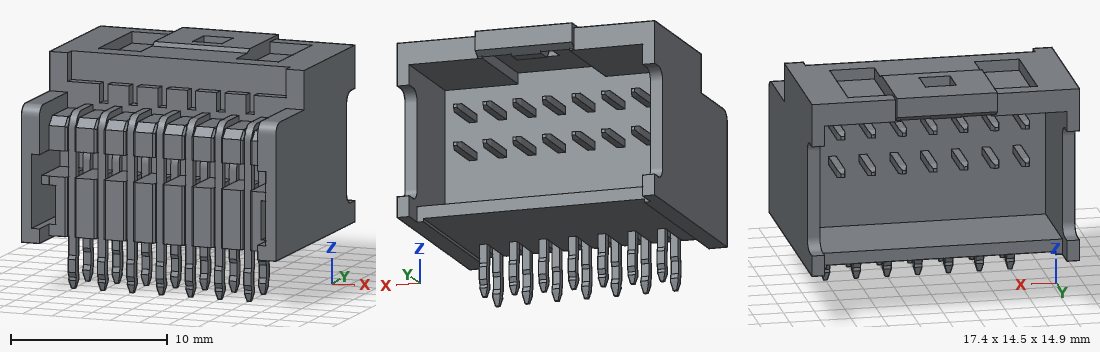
import cadquery as cq


width = 17.4
depth = 14.02
height = 11.48
corner_radius = 0.75
step_y = 5.01
wing_top_z = 8.93
wing_thickness = 1.24
inner_half_width = width / 2 - wing_thickness
bottom_recess = 0.21

notch_depth = 1.51
notch_bottom_z = 1.37
notch_top_z = 8.67

cavity_front_y = 7.08
cavity_bottom_z = 1.03
cavity_top_z = 10.0
side_wall = 0.82

latch_width = 6.52
latch_rise = 0.21
latch_overhang = 0.47
latch_rear_y = depth + latch_overhang
latch_front_y = 9.48
latch_ramp = 0.49
latch_nose_z = 10.42
latch_lead_in = 0.6
latch_lead_out = 0.49
latch_window = 2.0
latch_window_y = 11.38
latch_channel_width = 5.92
latch_channel_top_z = 10.74

pocket_outer_x = 6.16
pocket_front_y = cavity_front_y
pocket_rear_y = 12.98
pocket_depth = height - latch_channel_top_z

ledge_z = 9.62
ledge_depth = 0.7
slot_width = 0.55
slot_bottom_z = 8.39

pin_count = 7
pitch = 2.0
pin_size = 0.5
pin_half = pin_size / 2
row_spacing = 2.5
leg_front_y = 2.05
pin_top_z = 8.25
bend_outer = 1.03
bend_inner = bend_outer - pin_size
contact_tip_y = 10.51
pin_bottom_z = -3.2
point_length = 0.54
point_size = 0.23
kink = [(-1.03, 0.0), (-1.29, 0.1), (-2.12, 0.1), (-2.45, -0.03)]

comb_front_y = 1.72
comb_top_z = 7.92
comb_bevel = 0.55
groove_chamfer = 0.14
window_bottom_z = 4.07
window_top_z = 5.78

lock_inner_x = 7.03
lock_outer_x = 8.0
lock_bottom_z = 0.95
lock_top_z = 3.5
lock_tab_y = 1.8

pin_xs = [(i - (pin_count - 1) / 2) * pitch for i in range(pin_count)]
slot_xs = [(left + right) / 2 for left, right in zip(pin_xs, pin_xs[1:])]


def box(x_range, y_range, z_range):
    (x0, x1), (y0, y1), (z0, z1) = x_range, y_range, z_range
    return cq.Workplane("XY").box(x1 - x0, y1 - y0, z1 - z0, centered=False).translate((x0, y0, z0))


def centered_box(full_width, y_range, z_range):
    return box((-full_width / 2, full_width / 2), y_range, z_range)


def side_profile(x):
    """Sketch plane at X = x with local axes Y and Z, extruding toward +X."""
    return cq.Workplane("YZ", origin=(x, 0, 0))


def extruded_profile(outline, full_width):
    """Extrude a Y-Z outline symmetrically about X = 0."""
    return side_profile(-full_width / 2).polyline(outline).close().extrude(full_width)


def housing_shell():
    shell = centered_box(width, (0, depth), (0, height))
    shell = shell.cut(centered_box(width, (0, step_y), (wing_top_z, height)))
    front_edge = cq.selectors.NearestToPointSelector((0, 0, wing_top_z))
    shell = shell.edges(front_edge).fillet(corner_radius)
    shell = shell.cut(centered_box(2 * inner_half_width, (0, step_y), (0, wing_top_z)))
    underside = centered_box(2 * inner_half_width, (step_y, depth), (0, bottom_recess))
    cavity = centered_box(width - 2 * side_wall, (cavity_front_y, depth), (cavity_bottom_z, cavity_top_z))
    notch = centered_box(
        width, (depth - notch_depth, depth + notch_depth), (notch_bottom_z, notch_top_z)
    ).edges("|X").fillet(corner_radius)
    floor_end = centered_box(width - 2 * side_wall, (depth - notch_depth, depth), (0, cavity_bottom_z))
    return shell.cut(underside).cut(cavity).cut(notch).cut(floor_end)


def cut_front_edge(body):
    ledge_y = (step_y, step_y + ledge_depth)
    body = body.cut(centered_box(2 * inner_half_width, ledge_y, (ledge_z, height)))
    for x in slot_xs:
        slot_x = (x - slot_width / 2, x + slot_width / 2)
        body = body.cut(box(slot_x, ledge_y, (slot_bottom_z, ledge_z)))
    return body


def add_latch(body):
    for left_x, right_x in ((-pocket_outer_x, -latch_width / 2), (latch_width / 2, pocket_outer_x)):
        pocket_y = (pocket_front_y, pocket_rear_y)
        body = body.cut(box((left_x, right_x), pocket_y, (height - pocket_depth, height)))
    channel_y = (cavity_front_y, depth)
    body = body.cut(centered_box(latch_channel_width, channel_y, (cavity_top_z, latch_channel_top_z)))
    plate_outline = [
        (latch_rear_y, latch_channel_top_z),
        (latch_rear_y, height + latch_rise),
        (latch_front_y, height + latch_rise),
        (latch_front_y - latch_ramp, height),
        (latch_front_y - latch_ramp, latch_channel_top_z),
    ]
    tooth_front_y = latch_window_y + latch_window / 2
    tooth_outline = [
        (latch_rear_y, latch_channel_top_z),
        (latch_rear_y, latch_nose_z),
        (latch_rear_y - latch_lead_in, cavity_top_z),
        (tooth_front_y + latch_lead_out, cavity_top_z),
        (tooth_front_y, cavity_top_z + latch_lead_out),
        (tooth_front_y, latch_channel_top_z),
    ]
    plate = extruded_profile(plate_outline, latch_width)
    tooth_band = extruded_profile(tooth_outline, latch_width)
    lip = tooth_band.intersect(centered_box(latch_width, (depth, latch_rear_y), (0, height)))
    tooth = tooth_band.intersect(centered_box(latch_window, (0, latch_rear_y), (0, height)))
    window_y = (latch_window_y - latch_window / 2, tooth_front_y)
    window = centered_box(latch_window, window_y, (cavity_top_z, height + latch_rise))
    return body.union(plate).union(lip).union(tooth).cut(window)


def comb_block(x0, x1, chamfered_sides):
    outline = [
        (comb_front_y, bottom_recess),
        (comb_front_y, comb_top_z - comb_bevel),
        (comb_front_y + comb_bevel, comb_top_z),
        (step_y, comb_top_z),
        (step_y, bottom_recess),
    ]
    block = side_profile(x0).polyline(outline).close().extrude(x1 - x0)
    for side in chamfered_sides:
        block = block.faces(side).edges("not(<Z or >Y)").chamfer(groove_chamfer)
    return block


def add_comb(body):
    """Fill the space between the side walls with blocks, leaving one groove per pin."""
    starts = [-inner_half_width] + [x + pin_half for x in pin_xs]
    ends = [x - pin_half for x in pin_xs] + [inner_half_width]
    for i, (x0, x1) in enumerate(zip(starts, ends)):
        chamfered_sides = ([] if i == 0 else ["<X"]) + ([] if i == pin_count else [">X"])
        body = body.union(comb_block(x0, x1, chamfered_sides))
    return body.cut(centered_box(2 * lock_outer_x, (0, step_y), (window_bottom_z, window_top_z)))


def cut_board_lock_slots(body):
    for sign in (-1, 1):
        inner_x, wall_x, outer_x = (sign * x for x in (lock_inner_x, inner_half_width, lock_outer_x))
        recess_x = sorted((wall_x, outer_x))
        body = body.cut(box(recess_x, (0, lock_tab_y), (lock_bottom_z, window_top_z)))
        lock_x = sorted((inner_x, outer_x))
        body = body.cut(box(lock_x, (comb_front_y, step_y), (lock_bottom_z, lock_top_z)))
    return body


def pin_point(plane):
    return (
        cq.Workplane(plane)
        .rect(pin_size, pin_size)
        .workplane(offset=point_length)
        .rect(point_size, point_size)
        .loft()
    )


def pin(x, front_y, top_z, outward):
    """Bent square pin; outward is the Y direction of the kink in its leg."""
    rear_y = front_y + pin_size
    bend_y = front_y + bend_outer
    bend_z = top_z - bend_outer
    leg_end_z = pin_bottom_z + point_length
    contact_end_y = contact_tip_y - point_length
    front_side = [(front_y + outward * shift, z) for z, shift in kink]
    rear_side = [(y + pin_size, z) for y, z in front_side]
    diagonal = 0.5 ** 0.5
    profile = side_profile(x - pin_half).moveTo(front_y, leg_end_z)
    for point in reversed(front_side):
        profile = profile.lineTo(*point)
    profile = (
        profile.lineTo(front_y, bend_z)
        .threePointArc((bend_y - bend_outer * diagonal, bend_z + bend_outer * diagonal), (bend_y, top_z))
        .lineTo(contact_end_y, top_z)
        .lineTo(contact_end_y, top_z - pin_size)
        .lineTo(bend_y, top_z - pin_size)
        .threePointArc((bend_y - bend_inner * diagonal, bend_z + bend_inner * diagonal), (rear_y, bend_z))
    )
    for point in rear_side:
        profile = profile.lineTo(*point)
    shaft = profile.lineTo(rear_y, leg_end_z).close().extrude(pin_size)
    leg_point = pin_point(cq.Plane((x, front_y + pin_half, leg_end_z), (1, 0, 0), (0, 0, -1)))
    contact_point = pin_point(cq.Plane((x, contact_end_y, top_z - pin_half), (1, 0, 0), (0, 1, 0)))
    return shaft.union(leg_point).union(contact_point)


def add_pins(body):
    for x in pin_xs:
        body = body.union(pin(x, leg_front_y, pin_top_z, -1))
        body = body.union(pin(x, leg_front_y + row_spacing, pin_top_z - row_spacing, 1))
    return body


result = housing_shell()
result = cut_front_edge(result)
result = add_latch(result)
result = add_comb(result)
result = cut_board_lock_slots(result)
result = add_pins(result)